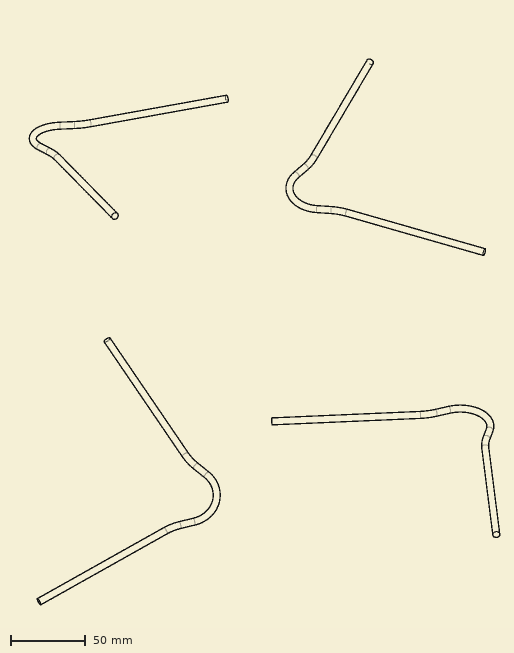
import cadquery as cq
import math

rod_diameter = 4.8
span = 201.5
nose_radius = 20.1
link_length = 9.7
outer_bend_radius = 36.3
link_angle = math.radians(28)
leg_angle = math.radians(45)


def offset(point, length, angle):
    """Move a point by a length in the direction of an angle from +X."""
    return (point[0] + length * math.cos(angle), point[1] + length * math.sin(angle))


def mirrored(point):
    """Reflect a point across the X axis."""
    return (point[0], -point[1])


quarter_turn = math.pi / 2
nose_tip = (-nose_radius, 0)
nose_end = offset((0, 0), nose_radius, link_angle + quarter_turn)
link_end = offset(nose_end, link_length, link_angle)
outer_centre = offset(link_end, outer_bend_radius, link_angle + quarter_turn)
middle_angle = (link_angle + leg_angle) / 2
outer_middle = offset(outer_centre, outer_bend_radius, middle_angle - quarter_turn)
leg_start = offset(outer_centre, outer_bend_radius, leg_angle - quarter_turn)

tip_overhang = rod_diameter / 2 * math.cos(leg_angle)
leg_rise = span / 2 - tip_overhang - leg_start[1]
leg_end = offset(leg_start, leg_rise / math.sin(leg_angle), leg_angle)

centreline = (
    cq.Workplane("XY")
    .moveTo(*mirrored(leg_end))
    .lineTo(*mirrored(leg_start))
    .threePointArc(mirrored(outer_middle), mirrored(link_end))
    .lineTo(*mirrored(nose_end))
    .threePointArc(nose_tip, nose_end)
    .lineTo(*link_end)
    .threePointArc(outer_middle, leg_start)
    .lineTo(*leg_end)
)

start_plane = cq.Plane(
    origin=(*mirrored(leg_end), 0),
    xDir=(0, 0, 1),
    normal=(-math.cos(leg_angle), math.sin(leg_angle), 0),
)
result = cq.Workplane(start_plane).circle(rod_diameter / 2).sweep(centreline)